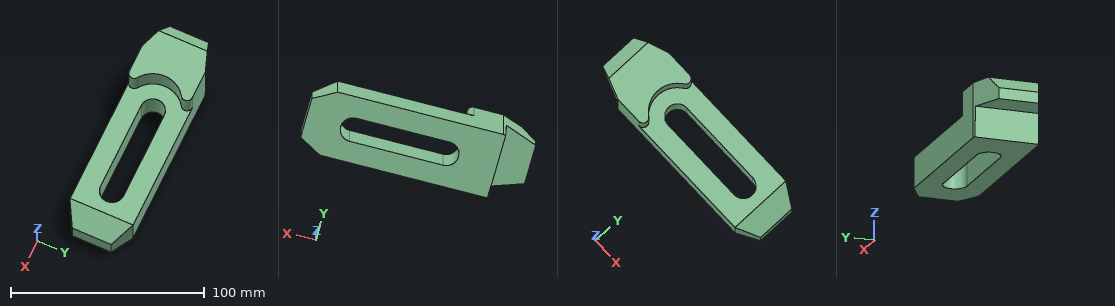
import cadquery as cq
import math

length = 120.0
width = 36.0
height = 30.0
body_height = 17.0

nose_width = 22.0
nose_taper_angle = math.radians(20)
nose_taper_length = (width - nose_width) / 2 / math.tan(nose_taper_angle)

tail_taper_length = 12.0
tail_taper_angle = math.radians(30)
tail_setback = tail_taper_length * math.tan(tail_taper_angle)

nose_chamfer = 8.0
nose_bottom = 16.0
heel_x = 18.0
jaw_tilt = math.radians(2)

slot_width = 13.0
slot_start_x = 45.0
slot_end_x = 95.0

relief_radius = 15.0
lobe_radius = 3.0


def extrude_side_profile(profile):
    """Extrude a closed XZ profile over the full width."""
    return profile.close().extrude(width / 2, both=True)


def make_plan_block():
    """Full-height block with both ends tapered in plan."""
    half_width = width / 2
    half_nose = nose_width / 2
    half_tail = half_width - tail_setback
    return (
        cq.Workplane("XY")
        .moveTo(0, -half_nose)
        .lineTo(nose_taper_length, -half_width)
        .lineTo(length - tail_taper_length, -half_width)
        .lineTo(length, -half_tail)
        .lineTo(length, half_tail)
        .lineTo(length - tail_taper_length, half_width)
        .lineTo(nose_taper_length, half_width)
        .lineTo(0, half_nose)
        .close()
        .extrude(height)
    )


def make_nose_cutters():
    """Chamfer above the nose, and the undercut whose two faces are square to each other."""
    chamfer = extrude_side_profile(
        cq.Workplane("XZ")
        .moveTo(0, height)
        .lineTo(nose_chamfer, height)
        .lineTo(0, height - nose_chamfer)
    )

    rise = math.tan(jaw_tilt)
    corner_x = (heel_x - nose_bottom * rise) / (1 + rise**2)
    corner_z = nose_bottom + corner_x * rise
    undercut = extrude_side_profile(
        cq.Workplane("XZ")
        .moveTo(0, 0)
        .lineTo(heel_x, 0)
        .lineTo(corner_x, corner_z)
        .lineTo(0, nose_bottom)
    )
    return chamfer.union(undercut)


def make_head_step_cutter():
    """Space above the body, bounded by the relief arc and the two lobes of the head."""
    half_width = width / 2
    lobe_y = half_width - lobe_radius
    center_distance = relief_radius + lobe_radius
    lobe_x = slot_start_x - math.sqrt(center_distance**2 - lobe_y**2)

    relief_share = relief_radius / center_distance
    tangent_x = slot_start_x + (lobe_x - slot_start_x) * relief_share
    tangent_y = lobe_y * relief_share
    lobe_tip = lobe_x + lobe_radius

    return (
        cq.Workplane("XY", origin=(0, 0, body_height))
        .moveTo(length, -half_width)
        .lineTo(lobe_x, -half_width)
        .threePointArc((lobe_tip, -lobe_y), (tangent_x, -tangent_y))
        .threePointArc((slot_start_x - relief_radius, 0), (tangent_x, tangent_y))
        .threePointArc((lobe_tip, lobe_y), (lobe_x, half_width))
        .lineTo(length, half_width)
        .close()
        .extrude(height - body_height)
    )


def make_tail_cutter():
    """Slope on top of the tail, as long as the tail's side tapers."""
    return extrude_side_profile(
        cq.Workplane("XZ")
        .moveTo(length - tail_taper_length, body_height)
        .lineTo(length, body_height - tail_setback)
        .lineTo(length, body_height)
    )


def make_slot_cutter():
    """Round-ended slot through the body."""
    return (
        cq.Workplane("XY")
        .center((slot_start_x + slot_end_x) / 2, 0)
        .slot2D(slot_end_x - slot_start_x + slot_width, slot_width)
        .extrude(body_height)
    )


result = (
    make_plan_block()
    .cut(make_nose_cutters())
    .cut(make_head_step_cutter())
    .cut(make_tail_cutter())
    .cut(make_slot_cutter())
)